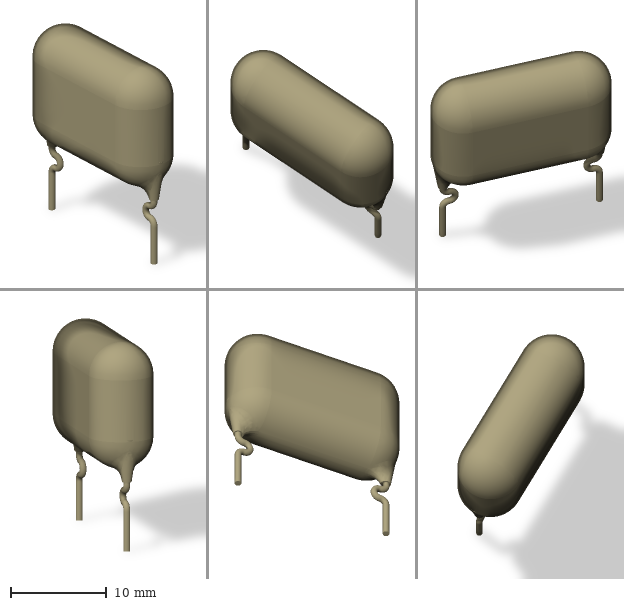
import cadquery as cq

THICKNESS = 6.9
HOUSING_LENGTH = 19.55
TOTAL_HEIGHT = 21.9
HOUSING_HEIGHT = 13.48
EDGE_RADIUS = THICKNESS / 2
CORNER_X = HOUSING_LENGTH / 2 - EDGE_RADIUS
UPPER_CORNER_Z = TOTAL_HEIGHT - EDGE_RADIUS
LOWER_CORNER_Z = TOTAL_HEIGHT - HOUSING_HEIGHT + EDGE_RADIUS

LEAD_X = 8.58
WIRE_DIAMETER = 0.7
BEND_RADIUS = 0.7
LOWER_LEG = 4.3
UPPER_LEG = 0.28
LEAD_TOP_Z = LOWER_LEG + 4 * BEND_RADIUS + UPPER_LEG

COLLAR_BASE_RADIUS = 0.5
COLLAR_TOP_RADIUS = 1.23
COLLAR_TOP_Z = 12.08
COLLAR_FILLET = 2.0
COLLAR_OVERRUN = 1.75
COLLAR_TAPER = (COLLAR_TOP_RADIUS - COLLAR_BASE_RADIUS) / (COLLAR_TOP_Z - LEAD_TOP_Z)


def make_rounded_slab():
    """Upright slab with half-round edges and spherical corners."""
    slab = (
        cq.Workplane("XY", origin=(0, 0, LOWER_CORNER_Z))
        .slot2D(HOUSING_LENGTH, THICKNESS)
        .extrude(UPPER_CORNER_Z - LOWER_CORNER_Z)
    )
    for z in (LOWER_CORNER_Z, UPPER_CORNER_Z):
        long_edge = cq.Workplane("YZ", origin=(-CORNER_X, 0, z)).circle(EDGE_RADIUS).extrude(2 * CORNER_X)
        slab = slab.union(long_edge)
        for x in (-CORNER_X, CORNER_X):
            slab = slab.union(cq.Workplane("XY", origin=(x, 0, z)).sphere(EDGE_RADIUS))
    return slab


def make_collar(x):
    """Cone that narrows downward, extended below its finished base."""
    start_z = LEAD_TOP_Z - COLLAR_OVERRUN
    start_radius = COLLAR_BASE_RADIUS - COLLAR_TAPER * COLLAR_OVERRUN
    cone = cq.Solid.makeCone(
        start_radius, COLLAR_TOP_RADIUS, COLLAR_TOP_Z - start_z, pnt=cq.Vector(x, 0, start_z)
    )
    return cq.Workplane(obj=cone)


def junction_edges(body):
    """Edges shared by a collar's cone and the lower rounded part of the slab."""
    edges = []
    for cone in body.faces("%CONE").vals():
        for edge in cone.Edges():
            box = edge.BoundingBox()
            if LEAD_TOP_Z < box.zmin and box.zmax < LOWER_CORNER_Z:
                edges.append(edge)
    return edges


def make_housing():
    """Slab and blended collars, trimmed flat at the collar bases."""
    body = make_rounded_slab()
    for x in (-LEAD_X, LEAD_X):
        body = body.union(make_collar(x))
    body = body.newObject(junction_edges(body)).fillet(COLLAR_FILLET)
    trim = (
        cq.Workplane("XY", origin=(0, 0, LEAD_TOP_Z))
        .rect(HOUSING_LENGTH, THICKNESS)
        .extrude(-COLLAR_OVERRUN)
    )
    return body.cut(trim)


def make_lead(side):
    """Round wire with a quarter, half and quarter bend; side is -1 or +1."""
    kink_x = side * (LEAD_X - BEND_RADIUS)
    kink_tip_x = kink_x - side * BEND_RADIUS
    lower_joint_z = LOWER_LEG + BEND_RADIUS
    kink_z = lower_joint_z + BEND_RADIUS
    upper_joint_z = kink_z + BEND_RADIUS
    upper_leg_z = upper_joint_z + BEND_RADIUS
    path = (
        cq.Workplane("XZ")
        .moveTo(side * LEAD_X, 0)
        .lineTo(side * LEAD_X, LOWER_LEG)
        .tangentArcPoint((kink_x, lower_joint_z), relative=False)
        .threePointArc((kink_tip_x, kink_z), (kink_x, upper_joint_z))
        .tangentArcPoint((side * LEAD_X, upper_leg_z), relative=False)
        .lineTo(side * LEAD_X, LEAD_TOP_Z)
    )
    return cq.Workplane("XY", origin=(side * LEAD_X, 0, 0)).circle(WIRE_DIAMETER / 2).sweep(path)


housing = make_housing()
leads = [make_lead(side) for side in (-1, 1)]
result = cq.Compound.makeCompound([housing.val(), *[lead.val() for lead in leads]])